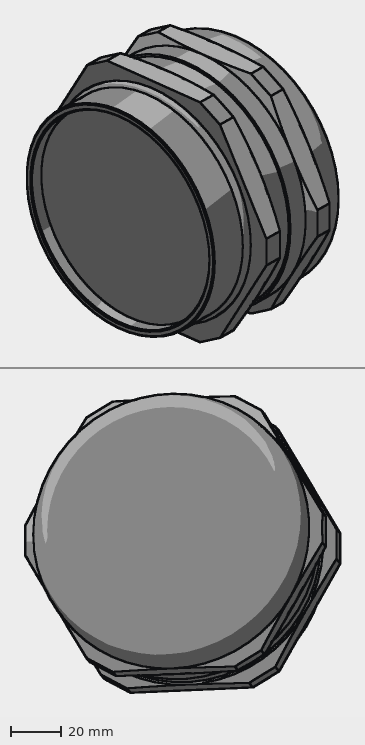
import cadquery as cq
import math

total_length = 73.0
body_hex_start = 20.0
body_hex_end = 30.0
nut_start = 40.0
nut_hex_start = 49.0
nut_hex_end = 59.0

hex_across_flats = 110.0
hex_across_corners = 120.0
nut_radius = hex_across_flats / 2
neck_radius = 54.0
thread_radius = 50.0
seal_radius = 52.0
bore_radius = 47.2

dome_radius = 7.0
thread_end_chamfer = 0.5
bore_chamfer = 0.5
bore_depth = 6.0
nut_chamfer_angle = math.radians(15)
body_chamfer_angle = math.radians(20)


def cylinder(radius, start, end):
    """Solid cylinder on the Y axis from y = start to y = end."""
    return cq.Workplane("XZ", origin=(0, start, 0)).circle(radius).extrude(start - end)


def hexagon_prism(across_flats, start, end, turn):
    """Hexagonal prism on the Y axis; turn = 0 puts its corners on the X axis."""
    circumscribed_diameter = 2 * across_flats / math.sqrt(3)
    prism = cq.Workplane("XZ", origin=(0, start, 0)).polygon(6, circumscribed_diameter).extrude(start - end)
    return prism.rotate((0, 0, 0), (0, 1, 0), turn)


def wrench_hexagon(start, end, chamfer_angle, chamfer_start):
    """Hexagon with flattened corners and conical chamfers, at the far end and optionally the near end."""
    prism = hexagon_prism(hex_across_flats, start, end, 0)
    corner_cutter = hexagon_prism(hex_across_corners, start, end, 30)

    face_radius = hex_across_flats / 2
    corner_radius = hex_across_flats / math.sqrt(3)
    chamfer_length = (corner_radius - face_radius) * math.tan(chamfer_angle)
    chamfer_cone = [(corner_radius, end - chamfer_length), (face_radius, end), (0, end)]
    if chamfer_start:
        near_end = [(0, start), (face_radius, start), (corner_radius, start + chamfer_length)]
    else:
        near_end = [(0, start), (corner_radius, start)]
    envelope = cq.Workplane("XY").polyline(near_end + chamfer_cone).close()
    envelope = envelope.revolve(360, (0, 0, 0), (0, 1, 0))
    return prism.intersect(corner_cutter).intersect(envelope)


def threaded_end():
    """Plain entry thread cylinder with a small chamfer at its open end."""
    return cylinder(thread_radius, 0, body_hex_start).faces("<Y").edges().chamfer(thread_end_chamfer)


def seal_ring():
    """O-ring centred on the thread surface and partly sunk into the body hexagon."""
    section_radius = seal_radius - thread_radius
    section_center = body_hex_start - section_radius / 2
    section = cq.Workplane("XY").center(thread_radius, section_center).circle(section_radius)
    return section.revolve(360, (-thread_radius, 0, 0), (-thread_radius, 1, 0))


def domed_nut():
    """Cap nut sleeve with a rounded far edge."""
    return cylinder(nut_radius, nut_start, total_length).faces(">Y").edges().fillet(dome_radius)


def entry_recess():
    """Shallow blind recess in the thread end with a chamfered mouth."""
    mouth_radius = bore_radius + bore_chamfer
    profile = [(0, 0), (mouth_radius, 0), (bore_radius, bore_chamfer), (bore_radius, bore_depth), (0, bore_depth)]
    return cq.Workplane("XY").polyline(profile).close().revolve(360, (0, 0, 0), (0, 1, 0))


result = (
    threaded_end()
    .union(seal_ring())
    .union(wrench_hexagon(body_hex_start, body_hex_end, body_chamfer_angle, chamfer_start=False))
    .union(cylinder(neck_radius, body_hex_end, nut_start))
    .union(domed_nut())
    .union(wrench_hexagon(nut_hex_start, nut_hex_end, nut_chamfer_angle, chamfer_start=True))
    .cut(entry_recess())
)